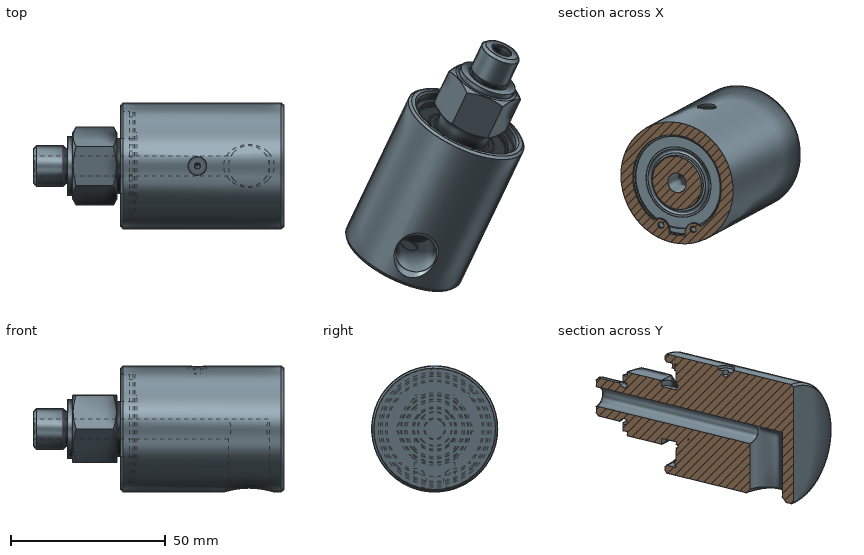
import cadquery as cq
import math

total_length = 80.84

bore_diameter = 6.4
bore_mouth_diameter = 7.0
thread_diameter = 13.16
tip_chamfer = 1.0
undercut_diameter = 10.72
undercut_rim_diameter = 13.5
undercut_taper_start = 9.55
undercut_taper_length = 0.53
undercut_taper_angle = 45.0
collar_start = 11.0
collar_diameter = 19.0
hex_start = 12.65
hex_end = 26.9
hex_across_flats = 21.8
hex_face_diameter = 21.3
hex_chamfer_angle = 30.0
neck_diameter = 17.85

housing_start = 28.15
housing_diameter = 40.71
edge_chamfer_length = 1.0
edge_chamfer_depth = 0.75
front_chamfer_length = 0.8
front_chamfer_depth = 0.85
cavity_diameter = 35.05
cavity_mouth_diameter = 36.4

ring_depth = 2.9
ring_thickness = 1.1
ring_outer_diameter = 37.54
ring_inner_diameter = 31.75
ring_gap = 5.65
ear_radius = 3.4
ear_offset_y = 6.3
ear_offset_z = -16.1
ear_hole_diameter = 1.98
ear_hole_offset_y = 5.82
ear_hole_offset_z = -14.85

bearing_diameter = 35.0
bearing_chamfer = 0.55
seal_outer_diameter = 30.7
seal_inner_diameter = 23.38
seal_recess = 0.5
inner_ring_recess = 0.1
groove_inner_diameter = 19.4
groove_outer_diameter = 22.0

port_x = 69.5
port_diameter = 13.16
port_mouth_diameter = 16.3
vent_x = 52.9
vent_diameter = 6.0
vent_depth = 1.0
vent_pilot_diameter = 1.98
vent_pilot_depth = 1.5
drill_point_angle = 118.0

housing_radius = housing_diameter / 2
ring_start = housing_start + ring_depth
bearing_start = ring_start + ring_thickness
inner_ring_face = bearing_start + seal_recess + inner_ring_recess
bore_end = port_x + port_diameter / 2


def cylinder(diameter, start, end):
    """Solid cylinder on the X axis."""
    return cq.Workplane("YZ").workplane(offset=start).circle(diameter / 2).extrude(end - start)


def tube(outer_diameter, inner_diameter, start, end):
    """Hollow cylinder on the X axis."""
    return cylinder(outer_diameter, start, end).cut(cylinder(inner_diameter, start, end))


def cone(start_diameter, end_diameter, start, end):
    """Conical frustum on the X axis."""
    profile = [(start, 0), (start, start_diameter / 2), (end, end_diameter / 2), (end, 0)]
    return cq.Workplane("XY").polyline(profile).close().revolve(360, (0, 0, 0), (1, 0, 0))


def make_hex():
    """Hexagon with corners on the Y axis, chamfered conically at both ends."""
    length = hex_end - hex_start
    corner_diameter = hex_across_flats / math.cos(math.radians(30))
    chamfer_slope = math.tan(math.radians(hex_chamfer_angle))
    chamfer_length = (corner_diameter - hex_face_diameter) / 2 * chamfer_slope
    prism = cq.Workplane("YZ").workplane(offset=hex_start).polygon(6, corner_diameter).extrude(length)
    envelope = (
        cylinder(corner_diameter, hex_start + chamfer_length, hex_end - chamfer_length)
        .union(cone(hex_face_diameter, corner_diameter, hex_start, hex_start + chamfer_length))
        .union(cone(corner_diameter, hex_face_diameter, hex_end - chamfer_length, hex_end))
    )
    return prism.intersect(envelope)


def make_undercut():
    """Rounded ring groove behind the thread, hollowing out the foot of the collar."""
    clearance_radius = undercut_rim_diameter / 2
    bottom_radius = undercut_diameter / 2
    taper_angle = math.radians(undercut_taper_angle)
    taper_end = undercut_taper_start + undercut_taper_length
    taper_end_radius = thread_diameter / 2 - undercut_taper_length * math.tan(taper_angle)
    arc_radius = (taper_end_radius - bottom_radius) / (1 - math.cos(taper_angle))
    bottom_x = taper_end + arc_radius * math.sin(taper_angle)
    return (
        cq.Workplane("XY")
        .moveTo(undercut_taper_start, clearance_radius)
        .lineTo(undercut_taper_start, thread_diameter / 2)
        .lineTo(taper_end, taper_end_radius)
        .tangentArcPoint((bottom_x, bottom_radius), relative=False)
        .tangentArcPoint((collar_start, clearance_radius), relative=False)
        .close()
        .revolve(360, (0, 0, 0), (1, 0, 0))
    )


def make_rotor():
    """Threaded end, collar, hex and neck, without the bore."""
    tip_diameter = thread_diameter - 2 * tip_chamfer
    return (
        cone(tip_diameter, thread_diameter, 0, tip_chamfer)
        .union(cylinder(thread_diameter, tip_chamfer, collar_start))
        .union(cylinder(collar_diameter, collar_start, hex_start))
        .cut(make_undercut())
        .union(make_hex())
        .union(cylinder(neck_diameter, hex_end, inner_ring_face))
    )


def make_inner_ring_groove():
    """Half-round ring groove in the face of the bearing around the rotor neck."""
    middle_radius = (groove_outer_diameter + groove_inner_diameter) / 4
    section_radius = (groove_outer_diameter - groove_inner_diameter) / 4
    section = cq.Workplane("XY").center(inner_ring_face, middle_radius).circle(section_radius)
    return section.revolve(360, (0, -middle_radius, 0), (1, -middle_radius, 0))


def make_housing():
    """Round housing whose front cavity holds the bearing, with the bearing face as its floor."""
    front_diameter = housing_diameter - 2 * front_chamfer_depth
    back_diameter = housing_diameter - 2 * edge_chamfer_depth
    front_chamfer_end = housing_start + front_chamfer_length
    back_chamfer_start = total_length - edge_chamfer_length
    mouth_chamfer = (cavity_mouth_diameter - cavity_diameter) / 2
    bearing_land_diameter = bearing_diameter - 2 * bearing_chamfer
    outside = (
        cone(front_diameter, housing_diameter, housing_start, front_chamfer_end)
        .union(cylinder(housing_diameter, front_chamfer_end, back_chamfer_start))
        .union(cone(housing_diameter, back_diameter, back_chamfer_start, total_length))
    )
    bearing_edge = cylinder(cavity_diameter, bearing_start, bearing_start + bearing_chamfer).cut(
        cone(bearing_land_diameter, bearing_diameter, bearing_start, bearing_start + bearing_chamfer)
    )
    return (
        outside.cut(cylinder(cavity_diameter, housing_start, bearing_start))
        .cut(cone(cavity_mouth_diameter, cavity_diameter, housing_start, housing_start + mouth_chamfer))
        .cut(bearing_edge)
        .cut(cylinder(seal_outer_diameter, bearing_start, bearing_start + seal_recess))
        .cut(cylinder(seal_inner_diameter, bearing_start, inner_ring_face))
        .cut(make_inner_ring_groove())
    )


def make_retaining_ring():
    """Internal retaining ring, open at the bottom, with a pierced ear on each side of the gap."""
    ring = tube(ring_outer_diameter, ring_inner_diameter, ring_start, bearing_start)
    plane = cq.Workplane("YZ").workplane(offset=ring_start)
    ears = plane.pushPoints([(side * ear_offset_y, ear_offset_z) for side in (-1, 1)])
    ears = ears.circle(ear_radius).extrude(ring_thickness)
    ears = ears.intersect(cylinder(ring_outer_diameter, ring_start, bearing_start))
    holes = plane.pushPoints([(side * ear_hole_offset_y, ear_hole_offset_z) for side in (-1, 1)])
    holes = holes.circle(ear_hole_diameter / 2).extrude(ring_thickness)
    gap_height = cavity_diameter / 2
    gap = plane.center(0, -gap_height / 2).rect(ring_gap, gap_height).extrude(ring_thickness)
    gap = gap.intersect(cylinder(cavity_diameter, ring_start, bearing_start))
    return ring.union(ears).cut(holes).cut(gap)


def radial_cutter(profile, x):
    """Revolve a (radius, height) profile about the vertical line through the given X."""
    return cq.Workplane("XZ").polyline(profile).close().revolve(360, (0, 0, 0), (0, 1, 0)).translate((x, 0, 0))


def make_port():
    """Bottom port with a 45 degree countersink, reaching the top of the bore."""
    port_radius = port_diameter / 2
    mouth_radius = port_mouth_diameter / 2
    top = bore_diameter / 2
    profile = [
        (0, top),
        (port_radius, top),
        (port_radius, -housing_radius + mouth_radius - port_radius),
        (mouth_radius, -housing_radius),
        (0, -housing_radius),
    ]
    return radial_cutter(profile, port_x)


def make_vent():
    """Top spot face with a small drilled pilot hole in its floor."""
    floor = housing_radius - vent_depth
    pilot_radius = vent_pilot_diameter / 2
    pilot_end = floor - vent_pilot_depth
    point_length = pilot_radius / math.tan(math.radians(drill_point_angle / 2))
    profile = [
        (0, housing_radius),
        (vent_diameter / 2, housing_radius),
        (vent_diameter / 2, floor),
        (pilot_radius, floor),
        (pilot_radius, pilot_end),
        (0, pilot_end - point_length),
    ]
    return radial_cutter(profile, vent_x)


def make_bore():
    """Axial bore from the chamfered rotor tip to the far wall of the port."""
    mouth_chamfer = (bore_mouth_diameter - bore_diameter) / 2
    return cylinder(bore_diameter, 0, bore_end).union(
        cone(bore_mouth_diameter, bore_diameter, 0, mouth_chamfer)
    )


result = (
    make_housing()
    .union(make_retaining_ring())
    .union(make_rotor())
    .cut(make_bore())
    .cut(make_port())
    .cut(make_vent())
)